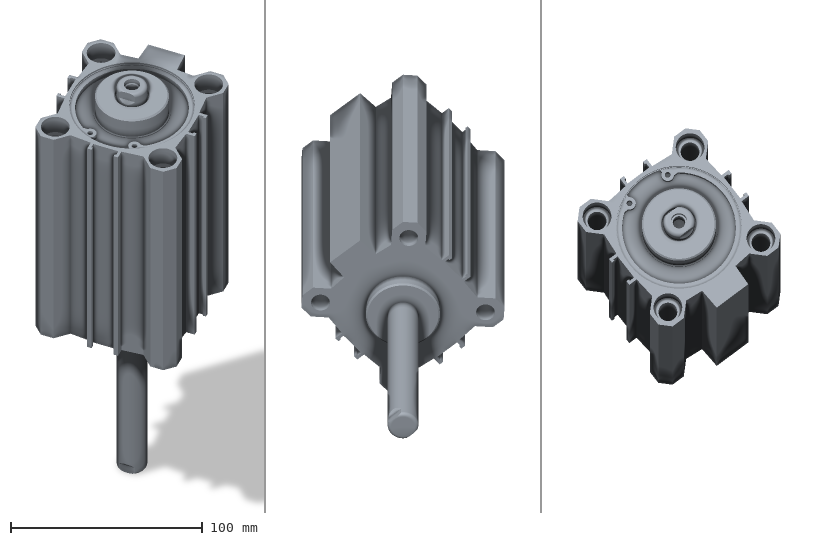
import cadquery as cq
import math

TOTAL_LENGTH = 272.0
BODY_LENGTH = 142.0
BODY_TOP = 257.0
BODY_BOTTOM = BODY_TOP - BODY_LENGTH

BODY_HALF = 40.0
EAR_CENTER = 31.0
EAR_FLAT = 7.3
EAR_ROOT = 20.7
WALL_MID = 34.8
WALL_AT_FIN = 34.4
PORT_Y = 46.0
PORT_TIP_WIDTH = 20.7
PORT_ROOT_WIDTH = 22.0

FIN_OUTER = 8.7
FIN_THICKNESS = 1.5
FIN_TIP = 39.2
ROOT_OVERLAP = 1.5
HOOK_WIDTH = 2.5
HOOK_HEIGHT = 1.5

MOUNT_CENTER = 30.5
MOUNT_DIAMETER = 9.8
MOUNT_COUNTERBORE = 15.0
MOUNT_COUNTERBORE_DEPTH = 11.0

BORE_DIAMETER = 64.7
MOUTH_DIAMETER = 65.5
MOUTH_DEPTH = 1.0
GROOVE_DIAMETER = 68.3

RING_DEPTH = 1.5
RING_THICKNESS = 3.0
RING_INNER_DIAMETER = 59.3
LUG_X = 12.5
LUG_Y = -26.0
LUG_DIAMETER = 6.5
LUG_HOLE_DIAMETER = 3.0
LUG_WEB_TOP = -24.0
LUG_WEB_INNER_X = 11.0

COVER_THICKNESS = 16.3
BOSS_DIAMETER = 38.5
BOSS_HEIGHT = 7.5
BOSS_CHAMFER = 0.8
BOSS_FOOT_DIAMETER = 40.3
BOSS_FOOT_HEIGHT = 0.5
WIPER_DIAMETER = 18.0
WIPER_MOUTH_DIAMETER = 18.8
WIPER_DEPTH = 2.7

ROD_DIAMETER = 16.0
ROD_FILLET = 2.0
ACROSS_FLATS = 13.3
FLAT_LENGTH = 5.2
SHOULDER_LENGTH = 2.2
ROD_HOLE_DIAMETER = 6.5
ROD_HOLE_MOUTH = 8.5
ROD_HOLE_MOUTH_DEPTH = 2.7
ROD_HOLE_DEPTH = 11.0
HOLE_TIP_ANGLE = 160.0

COVER_TOP = BODY_TOP - RING_DEPTH - RING_THICKNESS


def disc(diameter, bottom, height):
    """Cylinder on the Z axis that starts at the given level."""
    return cq.Workplane("XY").workplane(offset=bottom).circle(diameter / 2).extrude(height)


def cone(lower_diameter, upper_diameter, bottom, height):
    """Truncated cone (or full cone) on the Z axis."""
    return cq.Workplane(
        obj=cq.Solid.makeCone(
            lower_diameter / 2, upper_diameter / 2, height, pnt=cq.Vector(0, 0, bottom)
        )
    )


def body_prism(points):
    """Extrude an outline over the full housing length."""
    return cq.Workplane("XY").workplane(offset=BODY_BOTTOM).polyline(points).close().extrude(BODY_LENGTH)


def make_body_core():
    """Square section with an eared corner, repeated by quarter turns."""
    near = EAR_CENTER - EAR_FLAT / 2
    far = EAR_CENTER + EAR_FLAT / 2
    wall_at_ear = BODY_HALF - (near - EAR_ROOT)
    quarter = [
        (WALL_MID, -FIN_OUTER),
        (WALL_MID, FIN_OUTER),
        (WALL_AT_FIN, FIN_OUTER),
        (wall_at_ear, EAR_ROOT),
        (BODY_HALF, near),
        (BODY_HALF, far),
        (far, BODY_HALF),
        (near, BODY_HALF),
        (EAR_ROOT, wall_at_ear),
        (FIN_OUTER, WALL_AT_FIN),
    ]
    outline = []
    for turn in range(4):
        c = round(math.cos(turn * math.pi / 2))
        s = round(math.sin(turn * math.pi / 2))
        outline += [(c * x - s * y, s * x + c * y) for x, y in quarter]
    return body_prism(outline)


def make_fin_pair(turn_angle):
    """Two ribs with hooks facing each other, on the side at the given angle from +X."""
    hook_side = FIN_OUTER - HOOK_WIDTH
    arm_side = FIN_OUTER - FIN_THICKNESS
    root = WALL_AT_FIN - ROOT_OVERLAP
    fin_outline = [
        (root, FIN_OUTER),
        (FIN_TIP, FIN_OUTER),
        (FIN_TIP, hook_side),
        (FIN_TIP - HOOK_HEIGHT, hook_side),
        (FIN_TIP - HOOK_HEIGHT, arm_side),
        (root, arm_side),
    ]
    fin = body_prism(fin_outline)
    pair = fin.union(fin.mirror("XZ"))
    return pair.rotate((0, 0, 0), (0, 0, 1), turn_angle)


def make_port_block():
    """Slightly tapered block along the +Y side."""
    root_y = WALL_AT_FIN - ROOT_OVERLAP
    return body_prism([
        (-PORT_ROOT_WIDTH / 2, root_y),
        (PORT_ROOT_WIDTH / 2, root_y),
        (PORT_TIP_WIDTH / 2, PORT_Y),
        (-PORT_TIP_WIDTH / 2, PORT_Y),
    ])


def make_housing():
    housing = make_body_core().union(make_port_block())
    for side_angle in (0, 180, 270):
        housing = housing.union(make_fin_pair(side_angle))

    housing = housing.cut(disc(BORE_DIAMETER, BODY_BOTTOM, BODY_LENGTH))
    housing = housing.cut(disc(MOUTH_DIAMETER, BODY_TOP - MOUTH_DEPTH, MOUTH_DEPTH))
    housing = housing.cut(disc(GROOVE_DIAMETER, COVER_TOP, RING_THICKNESS))

    return (
        housing.faces(">Z").workplane(origin=(0, 0, BODY_TOP))
        .rect(2 * MOUNT_CENTER, 2 * MOUNT_CENTER, forConstruction=True).vertices()
        .cboreHole(MOUNT_DIAMETER, MOUNT_COUNTERBORE, MOUNT_COUNTERBORE_DEPTH)
    )


def make_top_cover():
    boss_top = BODY_TOP + BOSS_HEIGHT
    plate = disc(BORE_DIAMETER, COVER_TOP - COVER_THICKNESS, COVER_THICKNESS)
    boss = disc(BOSS_DIAMETER, COVER_TOP, boss_top - COVER_TOP).faces(">Z").chamfer(BOSS_CHAMFER)
    foot = disc(BOSS_FOOT_DIAMETER, COVER_TOP, BOSS_FOOT_HEIGHT)
    cover = plate.union(boss).union(foot)
    cover = cover.cut(disc(ROD_DIAMETER, 0, TOTAL_LENGTH))

    countersink = (WIPER_MOUTH_DIAMETER - WIPER_DIAMETER) / 2
    cover = cover.cut(disc(WIPER_DIAMETER, boss_top - WIPER_DEPTH, WIPER_DEPTH))
    return cover.cut(cone(WIPER_DIAMETER, WIPER_MOUTH_DIAMETER, boss_top - countersink, countersink))


def make_bottom_cover():
    boss_bottom = BODY_BOTTOM - BOSS_HEIGHT
    plate = disc(BORE_DIAMETER, BODY_BOTTOM, COVER_THICKNESS)
    boss = disc(BOSS_DIAMETER, boss_bottom, BOSS_HEIGHT).faces("<Z").chamfer(BOSS_CHAMFER)
    return plate.union(boss).cut(disc(ROD_DIAMETER, 0, TOTAL_LENGTH))


def make_retaining_ring():
    """Open ring with a holed lug at each end; the gap faces -Y."""
    level = cq.Workplane("XY").workplane(offset=COVER_TOP)
    ring = level.circle(GROOVE_DIAMETER / 2).circle(RING_INNER_DIAMETER / 2).extrude(RING_THICKNESS)
    gap = level.center(0, -GROOVE_DIAMETER / 2).rect(2 * LUG_X, GROOVE_DIAMETER).extrude(RING_THICKNESS)
    ring = ring.cut(gap)

    bore = disc(BORE_DIAMETER, COVER_TOP, RING_THICKNESS)
    for side in (-1, 1):
        eye = level.center(side * LUG_X, LUG_Y).circle(LUG_DIAMETER / 2).extrude(RING_THICKNESS)
        web = level.polyline([
            (side * LUG_WEB_INNER_X, LUG_WEB_TOP),
            (side * BORE_DIAMETER / 2, LUG_WEB_TOP),
            (side * BORE_DIAMETER / 2, -BORE_DIAMETER / 2),
            (side * LUG_WEB_INNER_X, -BORE_DIAMETER / 2),
        ]).close().extrude(RING_THICKNESS)
        ring = ring.union(eye).union(web.intersect(bore))
    holes = (
        level.pushPoints([(-LUG_X, LUG_Y), (LUG_X, LUG_Y)])
        .circle(LUG_HOLE_DIAMETER / 2).extrude(RING_THICKNESS)
    )
    return ring.cut(holes)


def make_rod():
    rod = disc(ROD_DIAMETER, 0, TOTAL_LENGTH).edges("%CIRCLE").fillet(ROD_FILLET)

    flat_y = ACROSS_FLATS / 2
    edge_y = ROD_DIAMETER / 2
    shoulder_end = FLAT_LENGTH + SHOULDER_LENGTH
    notch = (
        cq.Workplane("YZ")
        .polyline([(flat_y, 0), (flat_y, FLAT_LENGTH), (edge_y, shoulder_end), (edge_y, 0)])
        .close().extrude(ROD_DIAMETER / 2, both=True)
    )
    notches = notch.union(notch.mirror("XZ"))
    rod = rod.cut(notches)
    rod = rod.cut(notches.mirror("XY").translate((0, 0, TOTAL_LENGTH)))

    tip_height = ROD_HOLE_DIAMETER / 2 / math.tan(math.radians(HOLE_TIP_ANGLE / 2))
    hole_bottom = TOTAL_LENGTH - ROD_HOLE_DEPTH
    rod = rod.cut(disc(ROD_HOLE_DIAMETER, hole_bottom, ROD_HOLE_DEPTH))
    rod = rod.cut(cone(0, ROD_HOLE_DIAMETER, hole_bottom - tip_height, tip_height))
    return rod.cut(disc(ROD_HOLE_MOUTH, TOTAL_LENGTH - ROD_HOLE_MOUTH_DEPTH, ROD_HOLE_MOUTH_DEPTH))


housing = make_housing()
top_cover = make_top_cover()
bottom_cover = make_bottom_cover()
retaining_ring = make_retaining_ring()
rod = make_rod()

result = cq.Compound.makeCompound([
    housing.val(),
    top_cover.val(),
    bottom_cover.val(),
    retaining_ring.val(),
    rod.val(),
])